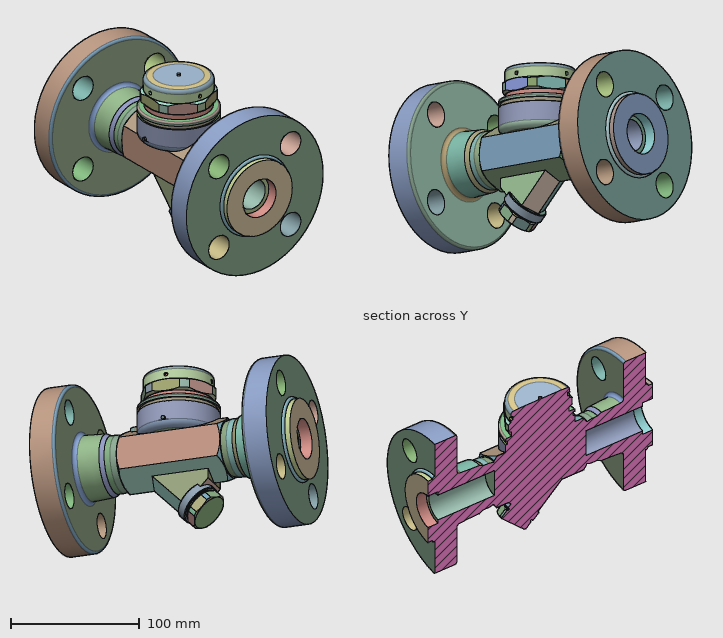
import cadquery as cq
import math

LENGTH = 210.0
HALF_LENGTH = LENGTH / 2
HEX_HALF_ANGLE = math.pi / 6
HEX_CONE_ANGLE = math.pi / 6

FLANGE_DIA = 133.0
RAISED_FACE_DIA = 63.5
RAISED_FACE_HEIGHT = 6.3
RAISED_FACE_FILLET = 2.0
FLANGE_THICKNESS = 21.0
FLANGE_EDGE_FILLET = 2.0
BOLT_HOLE_DIA = 20.0
BOLT_SPACING = 69.5
HUB_ROOT_RADIUS = 26.0
HUB_TIP_RADIUS = 25.0
HUB_FILLET = 3.2
HUB_TIP_X = 57.0
PIPE_DIA = 46.0
PIPE_START_X = 53.3
PIPE_END_LENGTH = 5.2
PIPE_END_DROP = 1.3
SOCKET_DIA = 32.0
SOCKET_DEPTH = 9.5
PORT_DIA = 25.0
PORT_END_X = 43.0

BODY_FLATS = 46.0
BODY_HALF_LENGTH = 43.3
BODY_CHAMFER_LENGTH = 2.5
BODY_END_RADIUS = 22.9
BODY_CORNER_RADIUS = BODY_FLATS / 2 / math.cos(HEX_HALF_ANGLE)

LUG_RADIUS = 5.5
LUG_X = -34.5
LUG_TOP_Z = 27.3

BOWL_DIA = 65.0
BOWL_BOTTOM_Z = 13.5
BOWL_FILLET = 5.5
GROOVE_DIA = 62.0
GROOVE_BOTTOM_Z = 34.2
GROOVE_TOP_Z = 37.4
RIM_TOP_Z = 40.5
RIM_FILLET = 1.5
BOWL_PIN_DIA = 3.0
BOWL_PIN_Z = 20.4
BOWL_PIN_REACH = 34.0

NECK_DIA = 54.0
CAP_HEX_FLATS = 55.5
CAP_HEX_CORNERS = 60.0
CAP_HEX_BOTTOM_Z = 44.7
CAP_HEX_TOP_Z = 54.5
CAP_HEX_CHAMFER = 1.5
CAP_DIA = 55.5
CAP_SHOULDER_Z = 62.4
CAP_EDGE_RADIUS = 25.0
CAP_EDGE_Z = 65.5
CAP_FLAT_DIA = 40.0
CAP_FLAT_Z = 66.0
PIP_DIA = 3.0
PIP_ABOVE_FLANGES = 0.6
PIP_TOP_Z = FLANGE_DIA / 2 + PIP_ABOVE_FLANGES
CAP_HOLE_DIA = 3.0
CAP_HOLE_DEPTH = 2.0
CAP_HOLE_Z = 58.4

BRANCH_ORIGIN_X = -25.2
BRANCH_FLATS = 26.5
BRANCH_CORNER_RADIUS = BRANCH_FLATS / 2 / math.cos(HEX_HALF_ANGLE)
BRANCH_ROOF = 25.2
BRANCH_SIDE_X = 29.6
BRANCH_END = 57.8
COLLAR_DIA = 34.0
COLLAR_START = 54.0
COLLAR_END = 62.0
COLLAR_CHAMFER = 0.6
PLUG_NECK_DIA = 29.8
PLUG_HEX_FLATS = 29.8
PLUG_HEX_CORNERS = 32.3
PLUG_HEX_START = 63.0
PLUG_HEX_END = 71.6
PLUG_HEX_CHAMFER = 0.8


def turned_hexagon(flats, corner_width, bottom, top, chamfer):
    """Hexagon about Z with flattened corners and both ends turned to a 30 degree cone."""
    height = top - bottom
    base = cq.Workplane("XY").workplane(offset=bottom)
    hexagon = base.transformed(rotate=(0, 0, 90)).polygon(6, flats, circumscribed=True).extrude(height)
    corner_cut = base.polygon(6, corner_width, circumscribed=True)
    radius = corner_width / 2
    end_radius = radius - chamfer / math.tan(HEX_CONE_ANGLE)
    blank = (
        cq.Workplane("XZ")
        .moveTo(0, bottom)
        .lineTo(end_radius, bottom)
        .lineTo(radius, bottom + chamfer)
        .lineTo(radius, top - chamfer)
        .lineTo(end_radius, top)
        .lineTo(0, top)
        .close()
        .revolve(360, (0, 0, 0), (0, 1, 0))
    )
    return hexagon.intersect(corner_cut.extrude(height)).intersect(blank)


def make_body():
    """Hexagonal bar along X, one edge up, with coned ends."""
    bar = (
        cq.Workplane("YZ")
        .polygon(6, BODY_FLATS, circumscribed=True)
        .extrude(BODY_HALF_LENGTH, both=True)
    )
    corner_x = BODY_HALF_LENGTH - BODY_CHAMFER_LENGTH
    blank = (
        cq.Workplane("XY")
        .moveTo(-BODY_HALF_LENGTH, 0)
        .lineTo(-BODY_HALF_LENGTH, BODY_END_RADIUS)
        .lineTo(-corner_x, BODY_CORNER_RADIUS)
        .lineTo(corner_x, BODY_CORNER_RADIUS)
        .lineTo(BODY_HALF_LENGTH, BODY_END_RADIUS)
        .lineTo(BODY_HALF_LENGTH, 0)
        .close()
        .revolve(360, (0, 0, 0), (1, 0, 0))
    )
    return bar.intersect(blank)


def make_flanged_end():
    """Flange, hub and pipe stub on the +X side, turned about X and still solid."""
    flange_outer_x = HALF_LENGTH - RAISED_FACE_HEIGHT
    flange_inner_x = flange_outer_x - FLANGE_THICKNESS
    flange_radius = FLANGE_DIA / 2
    face_radius = RAISED_FACE_DIA / 2
    pipe_radius = PIPE_DIA / 2
    profile = (
        cq.Workplane("XY")
        .moveTo(HALF_LENGTH, 0)
        .lineTo(HALF_LENGTH, face_radius)
        .lineTo(flange_outer_x + RAISED_FACE_FILLET, face_radius)
        .radiusArc((flange_outer_x, face_radius + RAISED_FACE_FILLET), -RAISED_FACE_FILLET)
        .lineTo(flange_outer_x, flange_radius)
        .lineTo(flange_inner_x + FLANGE_EDGE_FILLET, flange_radius)
        .radiusArc((flange_inner_x, flange_radius - FLANGE_EDGE_FILLET), -FLANGE_EDGE_FILLET)
        .lineTo(flange_inner_x, HUB_ROOT_RADIUS + HUB_FILLET)
        .radiusArc((flange_inner_x - HUB_FILLET, HUB_ROOT_RADIUS), HUB_FILLET)
        .lineTo(HUB_TIP_X, HUB_TIP_RADIUS)
        .lineTo(PIPE_START_X, pipe_radius)
        .lineTo(BODY_HALF_LENGTH + PIPE_END_LENGTH, pipe_radius)
        .tangentArcPoint((-PIPE_END_LENGTH, -PIPE_END_DROP))
        .lineTo(BODY_HALF_LENGTH, 0)
        .close()
    )
    flanged_end = profile.revolve(360, (0, 0, 0), (1, 0, 0))
    bolt_holes = (
        cq.Workplane("YZ")
        .workplane(offset=flange_inner_x)
        .rect(BOLT_SPACING, BOLT_SPACING, forConstruction=True)
        .vertices()
        .circle(BOLT_HOLE_DIA / 2)
        .extrude(FLANGE_THICKNESS)
    )
    return flanged_end.cut(bolt_holes)


def make_port():
    """Socket and blind port to remove from the +X end."""
    outer = cq.Workplane("YZ").workplane(offset=HALF_LENGTH)
    socket = outer.circle(SOCKET_DIA / 2).extrude(-SOCKET_DEPTH)
    port = outer.circle(PORT_DIA / 2).extrude(PORT_END_X - HALF_LENGTH)
    return socket.union(port)


def make_lug():
    """Upright round-ended lug reaching from the body into the bowl."""
    lug = cq.Workplane("XY").center(LUG_X, 0).circle(LUG_RADIUS).extrude(LUG_TOP_Z)
    web = cq.Workplane("XY").center(LUG_X / 2, 0).rect(-LUG_X, 2 * LUG_RADIUS).extrude(LUG_TOP_Z)
    return lug.union(web)


def make_bonnet():
    """Bowl with grooved rim, neck, hexagon and cap, stacked along Z."""
    bowl_radius = BOWL_DIA / 2
    groove_radius = GROOVE_DIA / 2
    bowl = (
        cq.Workplane("XZ")
        .moveTo(0, BOWL_BOTTOM_Z)
        .lineTo(bowl_radius - BOWL_FILLET, BOWL_BOTTOM_Z)
        .radiusArc((bowl_radius, BOWL_BOTTOM_Z + BOWL_FILLET), -BOWL_FILLET)
        .lineTo(bowl_radius, GROOVE_BOTTOM_Z)
        .lineTo(groove_radius, GROOVE_BOTTOM_Z)
        .lineTo(groove_radius, GROOVE_TOP_Z)
        .lineTo(bowl_radius, GROOVE_TOP_Z)
        .lineTo(bowl_radius, RIM_TOP_Z - RIM_FILLET)
        .radiusArc((bowl_radius - RIM_FILLET, RIM_TOP_Z), -RIM_FILLET)
        .lineTo(0, RIM_TOP_Z)
        .close()
        .revolve(360, (0, 0, 0), (0, 1, 0))
    )
    bowl_pin = (
        cq.Workplane("XZ")
        .center(0, BOWL_PIN_Z)
        .circle(BOWL_PIN_DIA / 2)
        .extrude(BOWL_PIN_REACH)
    )
    neck = (
        cq.Workplane("XY")
        .workplane(offset=RIM_TOP_Z)
        .circle(NECK_DIA / 2)
        .extrude(CAP_HEX_BOTTOM_Z - RIM_TOP_Z)
    )
    hexagon = turned_hexagon(
        CAP_HEX_FLATS, CAP_HEX_CORNERS, CAP_HEX_BOTTOM_Z, CAP_HEX_TOP_Z, CAP_HEX_CHAMFER
    )
    return bowl.union(bowl_pin).union(neck).union(hexagon).union(make_cap())


def make_cap():
    """Domed cap with a centre pip and four shallow radial holes."""
    bulge = math.sin(math.pi / 4)
    edge_width = CAP_DIA / 2 - CAP_EDGE_RADIUS
    edge_height = CAP_EDGE_Z - CAP_SHOULDER_Z
    edge_middle = (CAP_EDGE_RADIUS + edge_width * bulge, CAP_SHOULDER_Z + edge_height * bulge)
    cap = (
        cq.Workplane("XZ")
        .moveTo(0, CAP_HEX_TOP_Z)
        .lineTo(CAP_DIA / 2, CAP_HEX_TOP_Z)
        .lineTo(CAP_DIA / 2, CAP_SHOULDER_Z)
        .threePointArc(edge_middle, (CAP_EDGE_RADIUS, CAP_EDGE_Z))
        .lineTo(CAP_FLAT_DIA / 2, CAP_FLAT_Z)
        .lineTo(0, CAP_FLAT_Z)
        .close()
        .revolve(360, (0, 0, 0), (0, 1, 0))
    )
    pip = (
        cq.Workplane("XY")
        .workplane(offset=CAP_FLAT_Z)
        .circle(PIP_DIA / 2)
        .extrude(PIP_TOP_Z - CAP_FLAT_Z)
    )
    cap = cap.union(pip)
    hole = (
        cq.Workplane("YZ")
        .workplane(offset=CAP_DIA / 2 - CAP_HOLE_DEPTH)
        .center(0, CAP_HOLE_Z)
        .circle(CAP_HOLE_DIA / 2)
        .extrude(2 * CAP_HOLE_DEPTH)
    )
    for quarter in range(4):
        cap = cap.cut(hole.rotate((0, 0, 0), (0, 0, 1), 90 * quarter))
    return cap


def make_branch():
    """Strainer branch built upright about Z, then swung onto its 45 degree axis."""
    half_flats = BRANCH_FLATS / 2
    bevel_start = -BRANCH_CORNER_RADIUS / 2
    bar = (
        cq.Workplane("XY")
        .polyline([
            (-BRANCH_CORNER_RADIUS, 0),
            (bevel_start, half_flats),
            (BRANCH_ROOF, half_flats),
            (BRANCH_ROOF, -half_flats),
            (bevel_start, -half_flats),
        ])
        .close()
        .extrude(BRANCH_END)
    )
    collar = (
        cq.Workplane("XY")
        .workplane(offset=COLLAR_START)
        .circle(COLLAR_DIA / 2)
        .extrude(COLLAR_END - COLLAR_START)
        .edges()
        .chamfer(COLLAR_CHAMFER)
    )
    neck_length = PLUG_HEX_START - COLLAR_START
    neck = (
        cq.Workplane("XY").workplane(offset=COLLAR_START).circle(PLUG_NECK_DIA / 2).extrude(neck_length)
    )
    plug = turned_hexagon(
        PLUG_HEX_FLATS, PLUG_HEX_CORNERS, PLUG_HEX_START, PLUG_HEX_END, PLUG_HEX_CHAMFER
    )
    tilted = cq.Plane(origin=(BRANCH_ORIGIN_X, 0, 0), xDir=(1, 0, 1), normal=(1, 0, -1)).location
    bar = bar.val().moved(tilted)
    fitting = collar.union(neck).union(plug).val().moved(tilted)
    trim = cq.Workplane("YZ").workplane(offset=BRANCH_SIDE_X).rect(LENGTH, LENGTH).extrude(LENGTH)
    return cq.Workplane(bar).cut(trim).union(cq.Workplane(fitting))


flanged_end = make_flanged_end()
port = make_port()
result = (
    make_body()
    .union(flanged_end)
    .union(flanged_end.mirror("YZ"))
    .union(make_lug())
    .union(make_bonnet())
    .union(make_branch())
    .cut(port)
    .cut(port.mirror("YZ"))
)